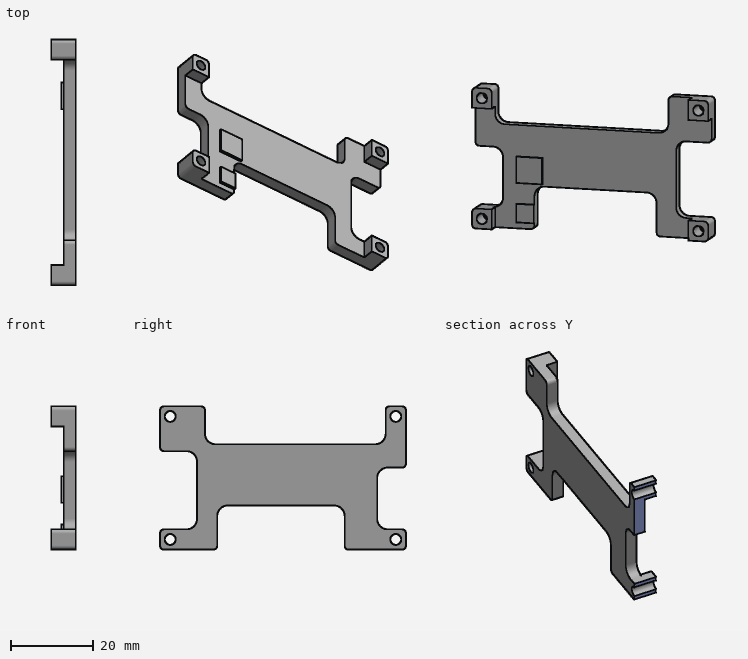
import cadquery as cq

depth = 6.0
length = 60.0
height = 35.0
plate_thickness = 3.0

block_side = 5.0
hole_diameter = 2.6

web_height = 15.0
web_bottom_offset = 10.75

upper_leg_plus = block_side
upper_leg_minus = 11.0
lower_leg_plus = 15.0
lower_leg_minus = 14.0

notch_depth_plus = 7.0
notch_depth_minus = 9.0
notch_top_plus = 20.0
notch_top_minus = 24.0

outer_radius = 1.0
inner_radius = 2.5

pad_thickness = 0.6
pad_edge_offset = 10.5
large_pad_side = 6.55
large_pad_bottom = 11.4
small_pad_width = lower_leg_plus - pad_edge_offset
small_pad_height = 4.6
small_pad_bottom = 1.6

back_x = depth / 2
plate_front_x = back_x - plate_thickness
end_y = length / 2
top_z = height / 2
bottom_z = -height / 2
web_bottom_z = bottom_z + web_bottom_offset
web_top_z = web_bottom_z + web_height
lower_tab_z = bottom_z + block_side
notch_top_plus_z = bottom_z + notch_top_plus
notch_top_minus_z = bottom_z + notch_top_minus
notch_plus_y = end_y - notch_depth_plus
notch_minus_y = -end_y + notch_depth_minus

outline = [
    (end_y, top_z, outer_radius),
    (end_y, notch_top_plus_z, outer_radius),
    (notch_plus_y, notch_top_plus_z, inner_radius),
    (notch_plus_y, lower_tab_z, inner_radius),
    (end_y, lower_tab_z, outer_radius),
    (end_y, bottom_z, outer_radius),
    (end_y - lower_leg_plus, bottom_z, outer_radius),
    (end_y - lower_leg_plus, web_bottom_z, inner_radius),
    (-end_y + lower_leg_minus, web_bottom_z, inner_radius),
    (-end_y + lower_leg_minus, bottom_z, outer_radius),
    (-end_y, bottom_z, outer_radius),
    (-end_y, lower_tab_z, outer_radius),
    (notch_minus_y, lower_tab_z, inner_radius),
    (notch_minus_y, notch_top_minus_z, inner_radius),
    (-end_y, notch_top_minus_z, outer_radius),
    (-end_y, top_z, outer_radius),
    (-end_y + upper_leg_minus, top_z, outer_radius),
    (-end_y + upper_leg_minus, web_top_z, inner_radius),
    (end_y - upper_leg_plus, web_top_z, inner_radius),
    (end_y - upper_leg_plus, top_z, outer_radius),
]

block_centers = [
    (y_side * (end_y - block_side / 2), z_side * (top_z - block_side / 2))
    for y_side in (-1, 1)
    for z_side in (-1, 1)
]


def profile_body(thickness):
    """Rounded outline extruded from the back face toward -X."""
    corners = [(y, z) for y, z, _ in outline]
    back_plane = cq.Workplane("YZ", origin=(back_x, 0, 0))
    body = back_plane.polyline(corners).close().extrude(-thickness)
    mid_x = back_x - thickness / 2
    for y, z, radius in outline:
        corner_edge = cq.selectors.NearestToPointSelector((mid_x, y, z))
        body = body.edges("|X").edges(corner_edge).fillet(radius)
    return body


def corner_blocks():
    """Full-depth corner blocks that share the rounded corners of the outline."""
    squares = (
        cq.Workplane("YZ", origin=(back_x, 0, 0))
        .pushPoints(block_centers)
        .rect(block_side, block_side)
        .extrude(-depth)
    )
    return profile_body(depth).intersect(squares)


def pad(width, pad_height, bottom_offset):
    """Rectangular pad standing on the front face of the plate."""
    center_y = end_y - pad_edge_offset - width / 2
    center_z = bottom_z + bottom_offset + pad_height / 2
    return (
        cq.Workplane("YZ", origin=(plate_front_x, center_y, center_z))
        .rect(width, pad_height)
        .extrude(-pad_thickness)
    )


def mounting_holes():
    """Cylinders passing through all four corner blocks."""
    return (
        cq.Workplane("YZ", origin=(back_x, 0, 0))
        .pushPoints(block_centers)
        .circle(hole_diameter / 2)
        .extrude(-depth)
    )


result = (
    profile_body(plate_thickness)
    .union(corner_blocks())
    .union(pad(large_pad_side, large_pad_side, large_pad_bottom))
    .union(pad(small_pad_width, small_pad_height, small_pad_bottom))
    .cut(mounting_holes())
)